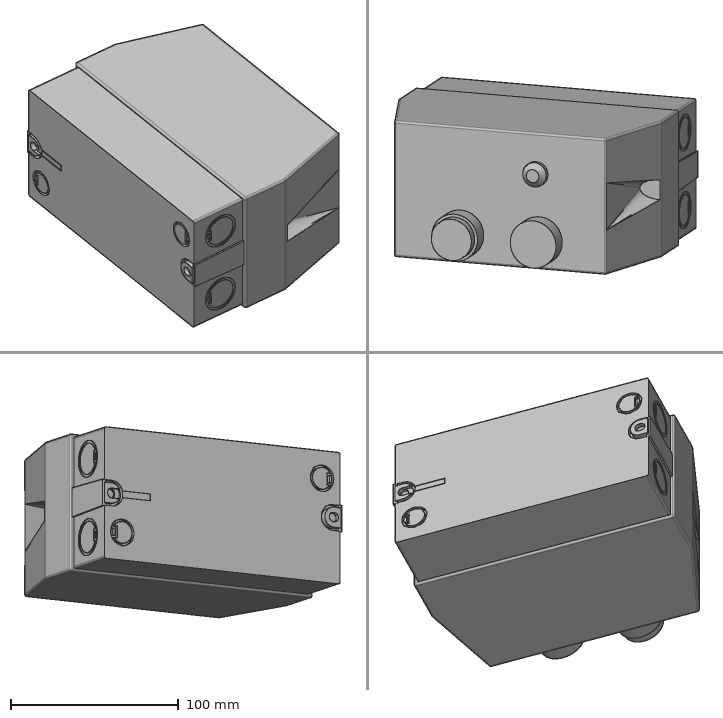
import cadquery as cq

COVER_WIDTH = 167.0
COVER_HEIGHT = 83.5
COVER_BACK_WIDTH = 134.0
COVER_FRONT_Y = 36.7
COVER_BEND_Y = 66.9
COVER_BACK_Y = 120.4
EDGE_RADIUS = 1.25

BASE_WIDTH = 162.2
BASE_HEIGHT = 80.0

STRIP_RISE = 1.2
STRIP_HALF_HEIGHT_FRONT = 8.0
STRIP_HALF_HEIGHT_COVER = 8.9

SCOOP_START_Y = 68.9
SCOOP_END_Y = 119.8
SCOOP_START_HALF_HEIGHT = 6.1
SCOOP_END_HALF_HEIGHT = 14.5
SCOOP_DEPTH = 12.7

BUTTON_X = 24.9
BUTTON_Z = -24.05
BUTTON_RADIUS = 14.5
BUTTON_END_Y = 131.4
CAP_RADIUS = 12.7
CAP_END_Y = 137.2
LAMP_X = -22.85
LAMP_Z = 16.7
LAMP_RADIUS = 7.45
LAMP_SHOULDER_Y = 123.25
LAMP_END_Y = 126.7
LAMP_TIP_RADIUS = 4.0

FRONT_KNOCKOUT_DEPTH = 2.0
SIDE_KNOCKOUT_DEPTH = 0.4
FRONT_KNOCKOUT_X = 68.8
FRONT_KNOCKOUT_Z = 23.2
SIDE_KNOCKOUT_Y = 20.1
SIDE_KNOCKOUT_Z = 23.8
NOTCH_HALF_LENGTH = 3.6
ISLAND_HALF_LENGTH = 2.15
FRONT_KNOCKOUT = dict(depth=FRONT_KNOCKOUT_DEPTH, outer=8.0, inner=6.6, notch_start=3.3, island_start=4.9)
SIDE_KNOCKOUT = dict(depth=SIDE_KNOCKOUT_DEPTH, outer=11.1, inner=9.5, notch_start=7.0, island_start=8.0)

BOSS_X = 76.1
BOSS_RADIUS = 6.1
BOSS_GROOVE_RADIUS = 7.8
BOSS_GROOVE_END_X = 80.0
BOSS_GROOVE_DEPTH = 3.0
RIGHT_BOSS_RISE = 1.3
LEFT_BOSS_RISE = 0.3
RIGHT_HOLE_LENGTH = 6.3
RIGHT_HOLE_WIDTH = 5.5
RIGHT_HOLE_FLOOR_Y = 1.5
LEFT_HOLE_DIAMETER = 5.9
LEFT_HOLE_FLOOR_Y = 3.0
BOSS_SLOT_WIDTH = 6.0
BOSS_SLOT_DEPTH = 1.5
CHANNEL_WIDTH = 4.1
CHANNEL_END_X = -49.4
CHANNEL_DEPTH = 0.3

BASE_SIDE_X = BASE_WIDTH / 2
STRIP_X = BASE_SIDE_X + STRIP_RISE


def mirrored(shape):
    """Return the shape together with its mirror image across x = 0."""
    return shape.union(shape.mirror("YZ"))


def front_plane(y, x=0, z=0):
    """Plane facing -Y, with local x along X and local y along Z."""
    return cq.Workplane("XZ", origin=(x, y, z))


def back_cylinder(x, z, radius, end_y):
    """Cylinder standing on the back face of the cover."""
    return front_plane(end_y, x, z).circle(radius).extrude(end_y - COVER_BACK_Y + EDGE_RADIUS)


def cover():
    outline = [
        (-COVER_WIDTH / 2, COVER_FRONT_Y),
        (COVER_WIDTH / 2, COVER_FRONT_Y),
        (COVER_WIDTH / 2, COVER_BEND_Y),
        (COVER_BACK_WIDTH / 2, COVER_BACK_Y),
        (-COVER_BACK_WIDTH / 2, COVER_BACK_Y),
        (-COVER_WIDTH / 2, COVER_BEND_Y),
    ]
    block = cq.Workplane("XY").polyline(outline).close().extrude(COVER_HEIGHT / 2, both=True)
    return block.edges().fillet(EDGE_RADIUS)


def slanted_side_x(y):
    """X of the slanted left side of the cover at the given y."""
    slope = (COVER_WIDTH - COVER_BACK_WIDTH) / 2 / (COVER_BACK_Y - COVER_BEND_Y)
    return -COVER_WIDTH / 2 + slope * (y - COVER_BEND_Y)


def pointed_solid(outline, tip):
    """Solid with straight sides running from a flat outline to a single tip point."""
    tip_vertex = cq.Vertex.makeVertex(*tip.toTuple())
    return cq.occ_impl.shapes.loft(cq.Face.makeFromWires(outline), tip_vertex, cap=True, ruled=True)


def scoop():
    """Half-elliptical opening at the front that flattens into a straight edge at the back."""
    mouth = cq.Vector(slanted_side_x(SCOOP_START_Y), SCOOP_START_Y, 0)
    bottom = mouth + cq.Vector(SCOOP_DEPTH, 0, 0)
    tips = [
        cq.Vector(slanted_side_x(SCOOP_END_Y), SCOOP_END_Y, side * SCOOP_END_HALF_HEIGHT)
        for side in (1, -1)
    ]
    wedge_base = cq.Wire.makePolygon([mouth, tips[0], tips[1]], close=True)
    tool = cq.Workplane(pointed_solid(wedge_base, bottom))
    for side, tip in zip((1, -1), tips):
        rim = mouth + cq.Vector(0, 0, side * SCOOP_START_HALF_HEIGHT)
        quarter_ellipse = cq.Edge.makeEllipse(
            SCOOP_DEPTH,
            SCOOP_START_HALF_HEIGHT,
            mouth,
            dir=cq.Vector(0, -side, 0),
            xdir=cq.Vector(1, 0, 0),
            angle1=0,
            angle2=90,
        )
        section = cq.Wire.assembleEdges([
            cq.Edge.makeLine(mouth, bottom),
            quarter_ellipse,
            cq.Edge.makeLine(rim, mouth),
        ])
        tool = tool.union(cq.Workplane(pointed_solid(section, tip)))
    return tool


def base():
    length = COVER_FRONT_Y + EDGE_RADIUS
    block = front_plane(length).rect(BASE_WIDTH, BASE_HEIGHT).extrude(length)
    return block.edges("|Y").fillet(EDGE_RADIUS)


def side_strip():
    outline = [
        (0, STRIP_HALF_HEIGHT_FRONT),
        (COVER_FRONT_Y, STRIP_HALF_HEIGHT_COVER),
        (COVER_FRONT_Y, -STRIP_HALF_HEIGHT_COVER),
        (0, -STRIP_HALF_HEIGHT_FRONT),
    ]
    inside = cq.Workplane("YZ", origin=(-STRIP_X, 0, 0))
    return inside.polyline(outline).close().extrude(2 * STRIP_RISE)


def knockout(plane, depth, outer, inner, notch_start, island_start):
    """Cutter for one knockout; the notch lies on the local +x side."""
    def bar(start, half_length):
        return (
            cq.Workplane(plane)
            .center((start + outer) / 2, 0)
            .rect(outer - start, 2 * half_length)
            .extrude(-depth)
        )

    disc = cq.Workplane(plane).circle(inner).extrude(-depth)
    ring = cq.Workplane(plane).circle(outer).circle(inner).extrude(-depth)
    notch = bar(notch_start, NOTCH_HALF_LENGTH).cut(bar(island_start, ISLAND_HALF_LENGTH))
    return ring.union(notch.intersect(disc))


def front_knockout(side):
    origin = (side * FRONT_KNOCKOUT_X, 0, side * FRONT_KNOCKOUT_Z)
    return knockout(cq.Plane(origin, (side, 0, 0), (0, -1, 0)), **FRONT_KNOCKOUT)


def side_knockout(side):
    origin = (-BASE_SIDE_X, SIDE_KNOCKOUT_Y, side * SIDE_KNOCKOUT_Z)
    return knockout(cq.Plane(origin, (0, -1, 0), (-1, 0, 0)), **SIDE_KNOCKOUT)


def boss_prism(side, radius, end_x, from_y, to_y):
    """Prism with a round inner end, running outward to end_x on the given side."""
    length = end_x - BOSS_X
    work = front_plane(to_y, side * BOSS_X)
    depth = to_y - from_y
    round_end = work.circle(radius).extrude(depth)
    straight = work.center(side * length / 2, 0).rect(length, 2 * radius).extrude(depth)
    beyond = work.center(side * (length + radius), 0).rect(2 * radius, 2 * radius).extrude(depth)
    return round_end.union(straight).cut(beyond)


def add_boss(body, side, rise):
    groove = boss_prism(side, BOSS_GROOVE_RADIUS, BOSS_GROOVE_END_X, 0, BOSS_GROOVE_DEPTH)
    boss = boss_prism(side, BOSS_RADIUS, BASE_SIDE_X, -rise, BOSS_GROOVE_DEPTH)
    return body.cut(groove).union(boss)


def right_hole():
    outline = front_plane(RIGHT_HOLE_FLOOR_Y, BOSS_X).slot2D(RIGHT_HOLE_LENGTH, RIGHT_HOLE_WIDTH)
    return outline.extrude(RIGHT_HOLE_FLOOR_Y + RIGHT_BOSS_RISE)


def left_hole():
    outline = front_plane(LEFT_HOLE_FLOOR_Y, -BOSS_X).circle(LEFT_HOLE_DIAMETER / 2)
    return outline.extrude(LEFT_HOLE_FLOOR_Y + LEFT_BOSS_RISE)


def bar_cut(start_x, end_x, width, depth, rise=0):
    """Straight cutter along X on the front face, centred on z = 0."""
    work = front_plane(depth, (start_x + end_x) / 2)
    return work.rect(end_x - start_x, width).extrude(depth + rise)


def lamp():
    profile = [
        (0, COVER_BACK_Y - EDGE_RADIUS),
        (LAMP_RADIUS, COVER_BACK_Y - EDGE_RADIUS),
        (LAMP_RADIUS, LAMP_SHOULDER_Y),
        (LAMP_TIP_RADIUS, LAMP_END_Y),
        (0, LAMP_END_Y),
    ]
    turned = cq.Workplane("XY").polyline(profile).close().revolve(360, (0, 0, 0), (0, 1, 0))
    return turned.translate((LAMP_X, 0, LAMP_Z))


result = cover().cut(mirrored(scoop()))
result = result.union(base()).union(mirrored(side_strip()))

for side in (1, -1):
    result = result.cut(front_knockout(side)).cut(mirrored(side_knockout(side)))

result = add_boss(result, 1, RIGHT_BOSS_RISE)
result = add_boss(result, -1, LEFT_BOSS_RISE)
boss_slot = bar_cut(-BOSS_X, BOSS_RADIUS - BOSS_X, BOSS_SLOT_WIDTH, BOSS_SLOT_DEPTH, LEFT_BOSS_RISE)
channel = bar_cut(BOSS_RADIUS - BOSS_X, CHANNEL_END_X, CHANNEL_WIDTH, CHANNEL_DEPTH)
result = result.cut(right_hole()).cut(left_hole()).cut(boss_slot).cut(channel)

for side in (1, -1):
    result = result.union(back_cylinder(side * BUTTON_X, BUTTON_Z, BUTTON_RADIUS, BUTTON_END_Y))
result = result.union(back_cylinder(BUTTON_X, BUTTON_Z, CAP_RADIUS, CAP_END_Y))
result = result.union(lamp())